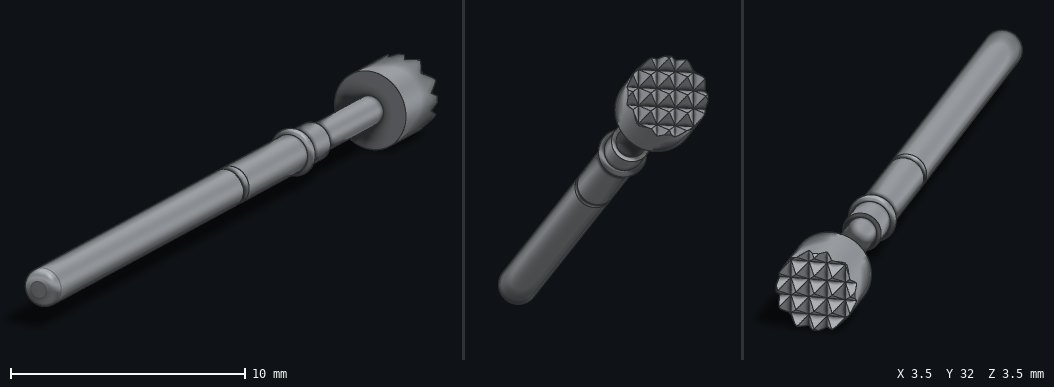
import cadquery as cq
import math

total_length = 32.0

head_diameter = 3.5
head_length = 3.0
tooth_pitch = 0.8
tooth_angle = 60.0
tooth_depth = tooth_pitch / 2 / math.tan(math.radians(tooth_angle / 2))
grooves_per_side = 3

shaft_diameter = 1.3
shaft_length = 5.0

barrel_diameter = 1.7
tail_round = 0.47

collar_diameter = 2.1
collar_width = 0.5
collar_setback = 1.5

crimp_width = 0.5
crimp_depth = 0.2
crimp_setback = 7.35

head_base = total_length - head_length
barrel_end = head_base - shaft_length
collar_middle = barrel_end - collar_setback - collar_width / 2
crimp_middle = barrel_end - crimp_setback


def axial_cylinder(diameter, start, length):
    """Cylinder on the Y axis, running from start towards +Y."""
    circle = cq.Workplane("XZ", origin=(0, start, 0)).circle(diameter / 2)
    return circle.extrude(-length)


def make_barrel():
    """Plain barrel with a rounded tail."""
    barrel = axial_cylinder(barrel_diameter, 0, barrel_end)
    return barrel.faces("<Y").edges().fillet(tail_round)


def make_collar():
    """Ring with a half-round rim, standing proud of the barrel."""
    rim_radius = collar_width / 2
    rim_centre = collar_diameter / 2 - rim_radius
    outline = (
        cq.Workplane("XY")
        .moveTo(0, collar_middle - rim_radius)
        .lineTo(rim_centre, collar_middle - rim_radius)
        .threePointArc((collar_diameter / 2, collar_middle), (rim_centre, collar_middle + rim_radius))
        .lineTo(0, collar_middle + rim_radius)
        .close()
    )
    return outline.revolve(360, (0, 0, 0), (0, 1, 0))


def make_crimp_cutter():
    """Ring that cuts a V groove into the barrel."""
    barrel_radius = barrel_diameter / 2
    outline = [
        (barrel_radius, crimp_middle - crimp_width / 2),
        (barrel_radius, crimp_middle + crimp_width / 2),
        (barrel_radius - crimp_depth, crimp_middle),
    ]
    return cq.Workplane("XY").polyline(outline).close().revolve(360, (0, 0, 0), (0, 1, 0))


def make_tooth_groove(offset):
    """V groove along Z, at the given distance from the axis in X."""
    outline = [
        (offset - tooth_pitch / 2, total_length),
        (offset + tooth_pitch / 2, total_length),
        (offset, total_length - tooth_depth),
    ]
    groove = cq.Workplane("XY").polyline(outline).close()
    return groove.extrude(head_diameter, both=True)


def make_head():
    """Round head with two crossing sets of V grooves that leave a grid of pointed teeth."""
    head = axial_cylinder(head_diameter, head_base, head_length)
    for index in range(grooves_per_side):
        offset = (index + 0.5) * tooth_pitch
        for side in (-1, 1):
            groove = make_tooth_groove(side * offset)
            crossing_groove = groove.rotate((0, 0, 0), (0, 1, 0), 90)
            head = head.cut(groove).cut(crossing_groove)
    return head


barrel = make_barrel().union(make_collar()).cut(make_crimp_cutter())
shaft = axial_cylinder(shaft_diameter, barrel_end, shaft_length)
result = barrel.union(shaft).union(make_head())